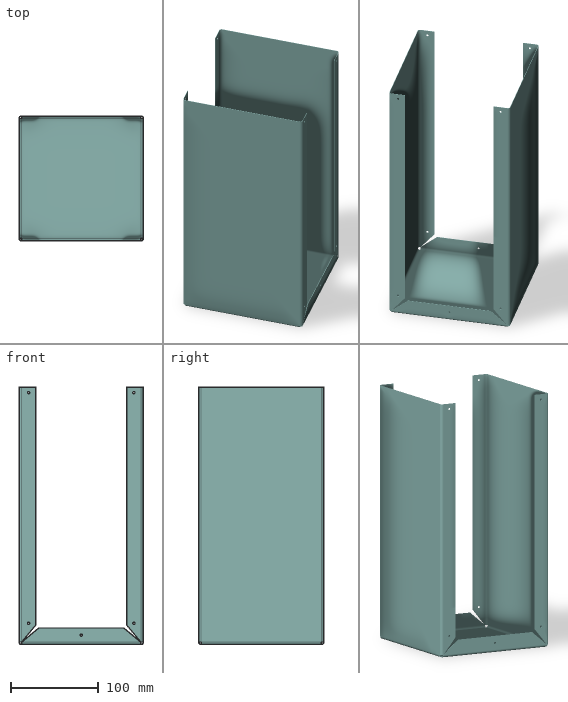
import cadquery as cq

width = 142.0
depth = 143.0
height = 294.0
sheet = 0.5
bend_radius = 3.0
flange_width = 19.0
mitre_reach = 22.3

hole_diameter = 2.4
hole_inset = 11.0
top_hole_drop = 6.2
lower_hole_height = 24.5

half_width = width / 2
half_depth = depth / 2
front_bend_y = bend_radius - half_depth
wall_bend_x = bend_radius - half_width


def u_shell():
    """Base and side walls, stopping where the flange bends begin."""
    length = depth - 2 * bend_radius
    outer = (
        cq.Workplane("XY")
        .box(width, length, height, centered=(True, True, False))
        .edges("|Y and <Z")
        .fillet(bend_radius)
    )
    inner = (
        cq.Workplane("XY")
        .box(width - 2 * sheet, length, height, centered=(True, True, False))
        .translate((0, 0, sheet))
        .edges("|Y and <Z")
        .fillet(bend_radius - sheet)
    )
    return outer.cut(inner)


def bend_tube(plane, start, length):
    """Round tube with the radii of a bend; a quarter of it forms the bend."""
    inner_radius = bend_radius - sheet
    outer_disc = plane.center(*start).circle(bend_radius).extrude(length)
    inner_disc = plane.center(*start).circle(inner_radius).extrude(length)
    return outer_disc.cut(inner_disc)


def flange_plate(points):
    """Flat flange on the front face, outlined in X and Z."""
    return (
        cq.Workplane("XZ", origin=(0, sheet - half_depth, 0))
        .polyline(points)
        .close()
        .extrude(sheet)
    )


def wall_flange():
    """Left front flange with its vertical bend and mitred lower end."""
    length = height - bend_radius
    inner_x = flange_width - half_width
    plate = flange_plate([
        (wall_bend_x, bend_radius),
        (inner_x, mitre_reach),
        (inner_x, height),
        (wall_bend_x, height),
    ])
    plane = cq.Workplane("XY", origin=(0, 0, bend_radius))
    tube = bend_tube(plane, (wall_bend_x, front_bend_y), length)
    quarter = cq.Workplane("XY").box(bend_radius, bend_radius, length, centered=False)
    quarter = quarter.translate((-half_width, -half_depth, bend_radius))
    return plate.union(tube.intersect(quarter))


def base_flange():
    """Front flange turned up from the base, mitred at both ends."""
    length = width - 2 * bend_radius
    top_x = half_width - mitre_reach
    plate = flange_plate([
        (wall_bend_x, bend_radius),
        (-wall_bend_x, bend_radius),
        (top_x, flange_width),
        (-top_x, flange_width),
    ])
    plane = cq.Workplane("YZ", origin=(wall_bend_x, 0, 0))
    tube = bend_tube(plane, (front_bend_y, bend_radius), length)
    quarter = cq.Workplane("XY").box(length, bend_radius, bend_radius, centered=False)
    quarter = quarter.translate((wall_bend_x, -half_depth, 0))
    return plate.union(tube.intersect(quarter))


def flange_holes():
    """Cutters for the holes, passing through the front and back flanges alike."""
    hole_x = half_width - hole_inset
    centres = [(0, hole_inset)]
    for x in (-hole_x, hole_x):
        for z in (lower_hole_height, height - top_hole_drop):
            centres.append((x, z))
    return (
        cq.Workplane("XZ")
        .pushPoints(centres)
        .circle(hole_diameter / 2)
        .extrude(depth, both=True)
    )


left_flange = wall_flange()
front_flanges = left_flange.union(left_flange.mirror("YZ")).union(base_flange())

result = u_shell().union(front_flanges).union(front_flanges.mirror("XZ"))
result = result.cut(flange_holes())